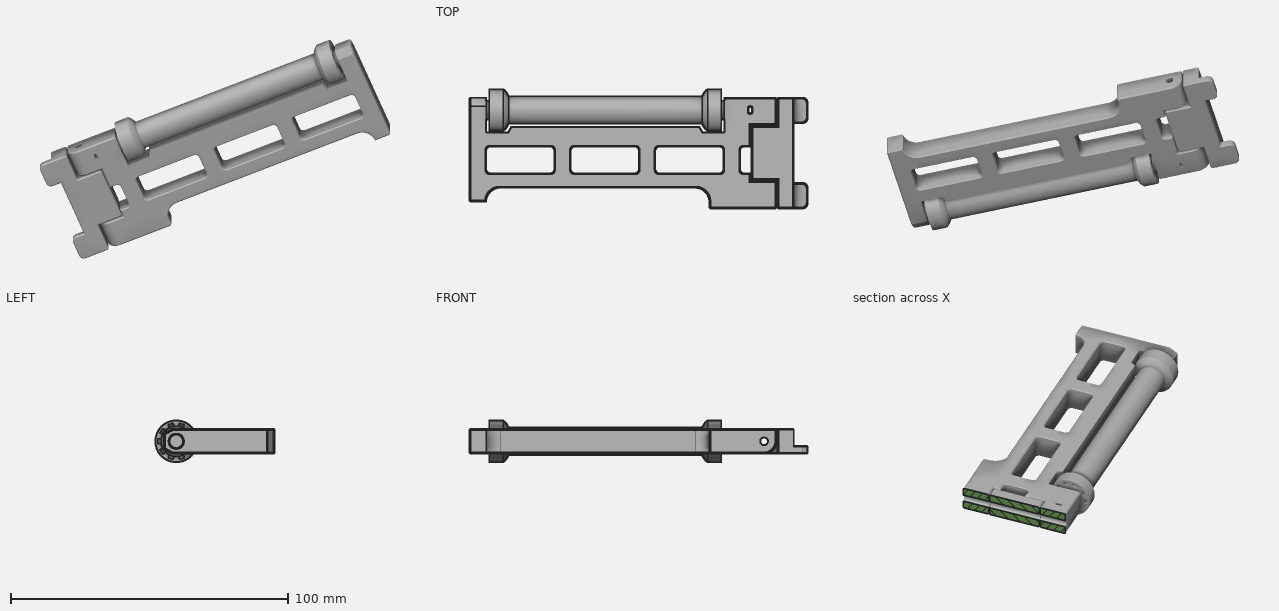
import cadquery as cq
import math


half_thickness = 4.5
edge_chamfer = 0.5
frame_length = 110.9
block_front_y = -35.5
block_start_x = 86.6
rail_front_y = -28.1
rail_back_y = -6.1
arm_width = 6.1
foot_fillet = 5.0
nose_flat_half_height = 2.8
nose_bevel_length = 3.2

window_count = 4
window_pitch = 30.5
window_start_x = 6.1
window_length = 24.5
window_back_y = -13.2
window_front_y = -22.8
window_corner = 1.5
window_chamfer = 0.4

roller_centre_x = 49.1
recess_floor_y = -8.0
recess_flat = 7.9
recess_slope_run = 1.1
recess_corner = 0.4
recess_overrun = 1.2
end_gap = 1.1
tube_radius = 5.0
wheel_radius = 7.6
wheel_rim = 5.0
wheel_shoulder = 2.0
wheel_shoulder_bulge = 0.2

axle_radius = 2.5
axle_hole_chamfer = 0.4

bushing_radius = 5.5
bushing_depth = 3.0
bushing_stub_radius = 3.4
notch_count = 10
notch_width = 1.8
notch_outer_radius = 6.6
notch_depth = 1.2
notch_overlap = 0.1
first_notch_angle = 90

slot_x = 101.3
slot_length = 2.3
slot_width = 1.2
slot_chamfer = 0.3

hinge_x = frame_length - half_thickness
hinge_hole_radius = 1.3
bay_start_x = 101.5
bay_half_width = 10.0
plate_gap = 0.3
plate_end_x = 117.1
plate_chamfer = 0.43
lug_end_x = 122.1
lug_width = 9.3
lug_top_z = -1.6
lug_corner = 2.0
lug_overlap = 1.2

thickness = 2 * half_thickness
back_y = half_thickness
foot_front_y = rail_front_y - foot_fillet
block_centre_y = (back_y + block_front_y) / 2
block_width = back_y - block_front_y
roller_span = 2 * roller_centre_x
recess_end_x = roller_span - arm_width
axle_end_x = roller_span
wheel_face_x = arm_width + end_gap
wheel_inner_x = wheel_face_x + wheel_rim + wheel_shoulder


def slab(outline):
    """Extrude a closed outline in XY over the whole thickness."""
    return outline.extrude(thickness).translate((0, 0, -half_thickness))


def cylinder_x(radius, start_x, end_x):
    """Cylinder on the roller axis."""
    return cq.Workplane("YZ", origin=(start_x, 0, 0)).circle(radius).extrude(end_x - start_x)


def mirror_end(body):
    """The same body at the other end of the roller."""
    return body.mirror("YZ", (roller_centre_x, 0, 0))


def frame_blank():
    """Outline with front foot, block and hinge bay, before the roller recess is cut."""
    bay_back_y = block_centre_y + bay_half_width
    bay_front_y = block_centre_y - bay_half_width
    diagonal = foot_fillet * math.sqrt(0.5)
    foot_arc_x = arm_width + foot_fillet
    block_arc_x = block_start_x - foot_fillet
    return slab(
        cq.Workplane("XY")
        .moveTo(0, back_y)
        .lineTo(0, foot_front_y)
        .lineTo(arm_width, foot_front_y)
        .threePointArc((foot_arc_x - diagonal, foot_front_y + diagonal), (foot_arc_x, rail_front_y))
        .lineTo(block_arc_x, rail_front_y)
        .threePointArc((block_arc_x + diagonal, foot_front_y + diagonal), (block_start_x, foot_front_y))
        .lineTo(block_start_x, block_front_y)
        .lineTo(frame_length, block_front_y)
        .lineTo(frame_length, bay_front_y)
        .lineTo(bay_start_x, bay_front_y)
        .lineTo(bay_start_x, bay_back_y)
        .lineTo(frame_length, bay_back_y)
        .lineTo(frame_length, back_y)
        .close()
    )


def windows():
    """Row of windows; the last one runs out into the hinge bay."""
    length_y = window_back_y - window_front_y
    centres = [
        (window_start_x + window_length / 2 + i * window_pitch, (window_back_y + window_front_y) / 2)
        for i in range(window_count)
    ]
    row = slab(cq.Workplane("XY").pushPoints(centres).rect(window_length, length_y))
    row = row.edges("|Z").fillet(window_corner)
    for side in (1, -1):
        flare = (
            cq.Workplane("XY", origin=(0, 0, side * half_thickness))
            .pushPoints(centres)
            .sketch()
            .rect(window_length + 2 * window_chamfer, length_y + 2 * window_chamfer)
            .vertices()
            .fillet(window_corner + window_chamfer)
            .finalize()
            .extrude(-side * window_chamfer, taper=45)
        )
        row = row.union(flare)
    return row


def roller_recess():
    """Space behind the rail, deeper at both ends for the wheels."""
    slope_start = arm_width + recess_flat
    slope_end = slope_start + recess_slope_run
    outside_y = back_y + recess_overrun
    recess = slab(
        cq.Workplane("XY").polyline(
            [
                (arm_width, outside_y),
                (arm_width, recess_floor_y),
                (slope_start, recess_floor_y),
                (slope_end, rail_back_y),
                (roller_span - slope_end, rail_back_y),
                (roller_span - slope_start, recess_floor_y),
                (recess_end_x, recess_floor_y),
                (recess_end_x, outside_y),
            ]
        ).close()
    )
    for corner_x in (arm_width, recess_end_x):
        corner = cq.selectors.NearestToPointSelector((corner_x, recess_floor_y, 0))
        recess = recess.edges(corner).fillet(recess_corner)
    return recess


def nose_bevels():
    """Two wedges that bevel the back of the arm; they end inside the roller recess."""
    nose = cq.Workplane("YZ").polyline(
        [
            (back_y, nose_flat_half_height),
            (back_y, half_thickness),
            (back_y - nose_bevel_length, half_thickness),
        ]
    ).close().extrude(roller_centre_x)
    return nose.union(nose.mirror("XY"))


def hinge_cylinder(radius):
    """Cylinder on the hinge axis, as long as the block is wide."""
    return cq.Workplane("XZ", origin=(hinge_x, back_y, 0)).circle(radius).extrude(block_width)


def hinge_rounding():
    """Waste below the hinge axis that leaves the block's lower end rounded about that axis."""
    waste = cq.Workplane("XY", origin=(hinge_x, block_centre_y, -half_thickness)).box(
        half_thickness, block_width, half_thickness, centered=(False, True, False)
    )
    return waste.cut(hinge_cylinder(half_thickness))


def block_slot():
    """Slot down through the block, chamfered at its upper mouth."""
    mouth = slot_width + 2 * slot_chamfer
    mouth_length = slot_length + 2 * slot_chamfer
    slot = slab(cq.Workplane("XY").center(slot_x, 0).slot2D(slot_length, slot_width, 90))
    flare = (
        cq.Workplane("XY", origin=(slot_x, 0, half_thickness))
        .slot2D(mouth_length, mouth, 90)
        .extrude(-slot_chamfer, taper=45)
    )
    return slot.union(flare)


def axle_hole():
    """Blind hole for the axle with a chamfered mouth in the arm."""
    mouth = cq.Workplane(
        cq.Solid.makeCone(
            axle_radius + axle_hole_chamfer,
            axle_radius,
            axle_hole_chamfer,
            pnt=cq.Vector(0, 0, 0),
            dir=cq.Vector(1, 0, 0),
        )
    )
    return make_axle().union(mouth)


def is_rim(edge):
    """True for edges that take the rim chamfer: not the arm's end face, nose bevels or their ends."""
    centre = edge.Center()
    on_end_face = centre.x < 2 * edge_chamfer
    on_nose = centre.x <= roller_centre_x and centre.y > rail_back_y
    return not (on_end_face or on_nose)


def make_frame():
    """Frame with its outer edges chamfered before the recess, windows and holes are cut."""
    frame = frame_blank().cut(nose_bevels()).cut(hinge_rounding())
    block_corner = frame.edges(cq.selectors.NearestToPointSelector((block_start_x, block_front_y, 0)))
    frame = frame.faces("<X").edges().add(block_corner).chamfer(edge_chamfer)
    frame = frame.faces(">Z or <Z").edges().filter(is_rim).chamfer(edge_chamfer)
    frame = frame.cut(roller_recess()).cut(windows())
    return frame.cut(hinge_cylinder(hinge_hole_radius)).cut(block_slot()).cut(axle_hole())


def make_axle():
    """Plain axle, flush with the outside of the arm."""
    return cylinder_x(axle_radius, 0, axle_end_x)


def make_tube():
    """Roller tube between the two wheels."""
    tube = cylinder_x(tube_radius, wheel_inner_x, roller_span - wheel_inner_x)
    return tube.cut(make_axle())


def wheel_notch():
    """Notch outside the bushing, with a floor that slopes deeper toward the axis."""
    inner_radius = bushing_radius - notch_overlap
    return (
        cq.Workplane("XZ", origin=(wheel_face_x, notch_width / 2, 0))
        .polyline([(0, inner_radius), (0, notch_outer_radius), (notch_depth, inner_radius)])
        .close()
        .extrude(notch_width)
    )


def make_wheel():
    """Wheel at the arm end: a rim, a rounded shoulder toward the tube and a seat for the bushing."""
    rim_end_x = wheel_face_x + wheel_rim
    shoulder_drop = wheel_radius - tube_radius
    shoulder_chord = math.hypot(wheel_shoulder, shoulder_drop)
    shoulder_mid = (
        rim_end_x + wheel_shoulder / 2 + wheel_shoulder_bulge * shoulder_drop / shoulder_chord,
        wheel_radius - shoulder_drop / 2 + wheel_shoulder_bulge * wheel_shoulder / shoulder_chord,
    )
    profile = (
        cq.Workplane("XY")
        .moveTo(wheel_face_x, 0)
        .lineTo(wheel_face_x, wheel_radius)
        .lineTo(rim_end_x, wheel_radius)
        .threePointArc(shoulder_mid, (wheel_inner_x, tube_radius))
        .lineTo(wheel_inner_x, 0)
        .close()
    )
    wheel = profile.revolve(360, (0, 0, 0), (1, 0, 0))
    wheel = wheel.cut(cylinder_x(bushing_radius, wheel_face_x, wheel_face_x + bushing_depth))
    for i in range(notch_count):
        angle = first_notch_angle + i * 360 / notch_count
        wheel = wheel.cut(wheel_notch().rotate((0, 0, 0), (1, 0, 0), angle))
    return wheel.cut(make_axle())


def make_bushing():
    """Bushing at the arm end: a disc seated in the wheel and a stub that meets the arm."""
    disc = cylinder_x(bushing_radius, wheel_face_x, wheel_face_x + bushing_depth)
    stub = cylinder_x(bushing_stub_radius, arm_width, wheel_face_x)
    return disc.union(stub).cut(make_axle())


def make_plate():
    """Hinged plate: a bar with a tongue in the frame's bay and two low lugs at its far end."""
    start_x = frame_length + plate_gap
    tongue_start_x = bay_start_x + plate_gap
    tongue_width = 2 * (bay_half_width - plate_gap)
    bar = cq.Workplane("XY", origin=(start_x, block_centre_y, -half_thickness)).box(
        plate_end_x - start_x, block_width, thickness, centered=(False, True, False)
    )
    tongue = cq.Workplane("XY", origin=(tongue_start_x, block_centre_y, -half_thickness)).box(
        plate_end_x - tongue_start_x, tongue_width, thickness, centered=(False, True, False)
    )
    bar = bar.edges("|Z and <X").chamfer(plate_chamfer)
    tongue = tongue.edges("|Z and <X").chamfer(plate_chamfer)
    plate = bar.union(tongue)
    plate = plate.faces(">Z or <Z").edges().chamfer(plate_chamfer)
    for lug_y in (back_y - lug_width / 2, block_front_y + lug_width / 2):
        plate = plate.union(make_lug(lug_y))
    return plate.cut(hinge_cylinder(hinge_hole_radius))


def make_lug(centre_y):
    """Low lug that overlaps the bar and has rounded outer corners."""
    start_x = plate_end_x - lug_overlap
    lug = cq.Workplane("XY", origin=(start_x, centre_y, -half_thickness)).box(
        lug_end_x - start_x, lug_width, lug_top_z + half_thickness, centered=(False, True, False)
    )
    lug = lug.edges("|Z and >X").fillet(lug_corner)
    return lug.faces(">Z or <Z").edges("not <X").chamfer(plate_chamfer)


frame = make_frame()
axle = make_axle()
tube = make_tube()
plate = make_plate()
wheels = [make_wheel(), mirror_end(make_wheel())]
bushings = [make_bushing(), mirror_end(make_bushing())]

result = cq.Compound.makeCompound(
    [body.val() for body in [frame, axle, tube, plate, *wheels, *bushings]]
)